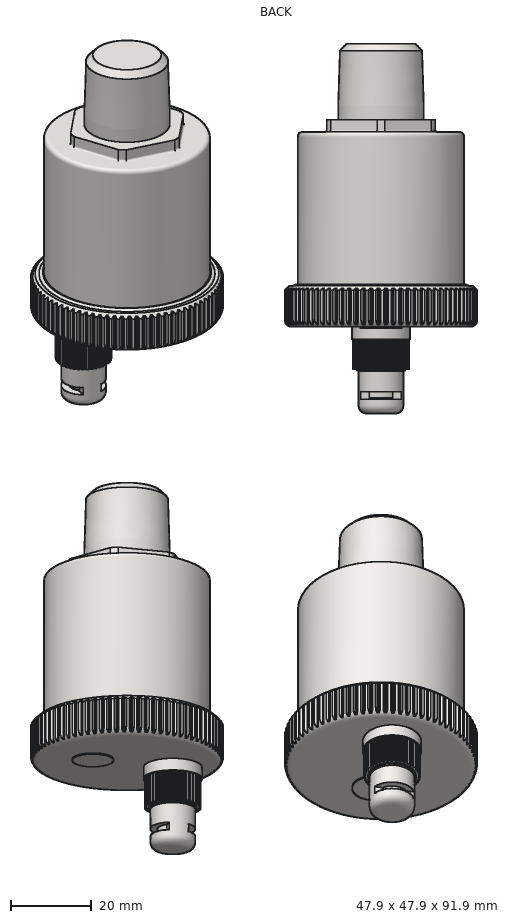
import cadquery as cq
import math

total_height = 91.9
spigot_taper_z = 76.55
hex_top_z = 73.0
body_top_z = 69.9
body_bottom_z = 32.2
cap_top_z = 31.7
cap_bottom_z = 21.5
collar_bottom_z = 18.5
grip_bottom_z = 11.0

spigot_radius = 10.7
spigot_taper = 1 / 32
spigot_chamfer = 1.75

hex_across_flats = 27.0
hex_corner_radius = 15.1
hex_foot_fillet = 0.5

body_radius = 20.7
body_fillet = 1.1

cap_diameter = 47.9
cap_radius = cap_diameter / 2
lip_top_radius = 20.95
lip_foot_radius = 21.9
cap_top_chamfer = 1.1
cap_bottom_fillet = 1.8
cap_tooth_count = 80
cap_tooth_depth = 0.55
cap_phase_degrees = 0.7

pad_radius = 5.15
pad_y = 8.9
pad_height = 0.3

stem_y = -11.95
stem_radius = 5.6
stem_end_fillet = 2.0
collar_radius = 7.3
grip_radius = 7.0
grip_tooth_count = 40
grip_tooth_depth = 0.4
grip_phase_degrees = 0.0
grip_foot_height = 0.55
grip_foot_step = 0.4

slot_top_z = 5.4
slot_bottom_z = 3.5
slot_inner_offset = 2.5
slot_core_radius = 3.9
slot_core_chamfer = 0.5

CREST_SHARE = 0.35
FLOOR_SHARE = 0.2


def cylinder(radius, bottom_z, top_z, y=0.0):
    return cq.Workplane("XY", origin=(0, y, bottom_z)).circle(radius).extrude(top_z - bottom_z)


def toothed_cylinder(radius, depth, count, phase_degrees, bottom_z, top_z):
    """Cylinder with straight trapezoidal teeth parallel to Z."""
    pitch = 2 * math.pi / count
    floor_radius = radius - depth
    corners = [
        (radius, -CREST_SHARE / 2),
        (radius, CREST_SHARE / 2),
        (floor_radius, 0.5 - FLOOR_SHARE / 2),
        (floor_radius, 0.5 + FLOOR_SHARE / 2),
    ]
    points = []
    for tooth in range(count):
        for corner_radius, offset in corners:
            angle = math.radians(phase_degrees) + (tooth + offset) * pitch
            points.append((corner_radius * math.cos(angle), corner_radius * math.sin(angle)))
    return cq.Workplane("XY", origin=(0, 0, bottom_z)).polyline(points).close().extrude(top_z - bottom_z)


def make_spigot():
    chamfer_z = total_height - spigot_chamfer
    chamfer_radius = spigot_radius - spigot_taper * (chamfer_z - spigot_taper_z)
    return (
        cq.Workplane("XZ")
        .moveTo(0, body_top_z)
        .lineTo(spigot_radius, body_top_z)
        .lineTo(spigot_radius, spigot_taper_z)
        .lineTo(chamfer_radius, chamfer_z)
        .lineTo(chamfer_radius - spigot_chamfer, total_height)
        .lineTo(0, total_height)
        .close()
        .revolve(360, (0, 0, 0), (0, 1, 0))
    )


def make_body_with_hexagon():
    body = cylinder(body_radius, body_bottom_z, body_top_z).faces(">Z").edges().fillet(body_fillet)
    corner_diameter = hex_across_flats / math.cos(math.pi / 6)
    hexagon = (
        cq.Workplane("XY", origin=(0, 0, body_top_z))
        .transformed(rotate=(0, 0, 30))
        .polygon(6, corner_diameter)
        .extrude(hex_top_z - body_top_z)
        .intersect(cylinder(hex_corner_radius, body_top_z, hex_top_z))
    )
    margin = 0.1
    reach = hex_corner_radius + margin
    foot_zone = cq.selectors.BoxSelector(
        (-reach, -reach, body_top_z - margin),
        (reach, reach, body_top_z + margin),
        boundingbox=True,
    )
    return body.union(hexagon).edges(foot_zone).fillet(hex_foot_fillet)


def make_cap():
    blank = cylinder(cap_radius, cap_bottom_z, cap_top_z)
    blank = blank.faces(">Z").edges().chamfer(cap_top_chamfer)
    blank = blank.faces("<Z").edges().fillet(cap_bottom_fillet)
    teeth = toothed_cylinder(
        cap_radius, cap_tooth_depth, cap_tooth_count, cap_phase_degrees, cap_bottom_z, cap_top_z
    )
    lip = (
        cq.Workplane("XZ")
        .moveTo(0, cap_top_z)
        .lineTo(lip_foot_radius, cap_top_z)
        .lineTo(lip_top_radius, body_bottom_z)
        .lineTo(0, body_bottom_z)
        .close()
        .revolve(360, (0, 0, 0), (0, 1, 0))
    )
    pad = cylinder(pad_radius, cap_bottom_z - pad_height, cap_bottom_z, pad_y)
    return blank.intersect(teeth).union(lip).union(pad)


def make_slot_cutter():
    """Two side slots that leave a round core with a narrowed lower end."""
    height = slot_top_z - slot_bottom_z
    core = cylinder(slot_core_radius, slot_bottom_z, slot_top_z)
    core = core.faces("<Z").edges().chamfer(slot_core_chamfer)
    web = cq.Workplane("XY", origin=(0, 0, slot_bottom_z)).rect(2 * collar_radius, 2 * slot_inner_offset)
    return cylinder(collar_radius, slot_bottom_z, slot_top_z).cut(web.extrude(height)).cut(core)


def make_stem():
    shaft = cylinder(stem_radius, 0, grip_bottom_z).faces("<Z").edges().fillet(stem_end_fillet)
    foot = (
        cylinder(stem_radius + grip_foot_step, grip_bottom_z - grip_foot_height, grip_bottom_z)
        .faces("<Z")
        .edges()
        .chamfer(grip_foot_height / 2, grip_foot_step)
    )
    grip = toothed_cylinder(
        grip_radius, grip_tooth_depth, grip_tooth_count, grip_phase_degrees, grip_bottom_z, collar_bottom_z
    )
    collar = cylinder(collar_radius, collar_bottom_z, cap_bottom_z)
    stem = shaft.cut(make_slot_cutter()).union(foot).union(grip).union(collar)
    return stem.translate((0, stem_y, 0))


result = make_body_with_hexagon().union(make_spigot()).union(make_cap()).union(make_stem())